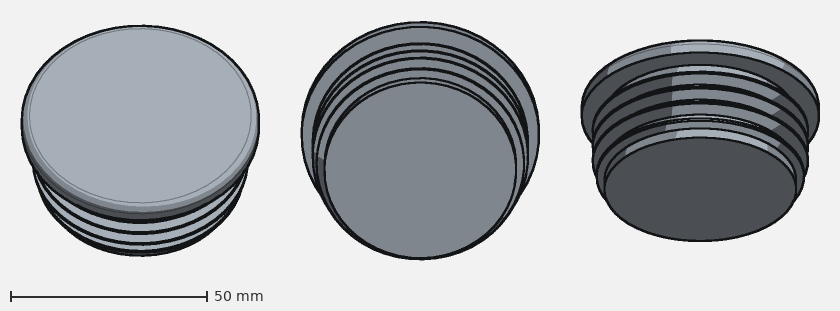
import cadquery as cq
import math

head_radius = 30.25
head_bottom = 22.0
edge_radius = 2.0
edge_start = 24.6
edge_top = edge_start + edge_radius
crown_rise = 0.5

plug_radius = 24.45

fin_pitch = 4.55
fin_radius = 54.9 / 2
fin_top_lowest = 8.95
fin_rim = 0.55
fin_taper = 1.45
fin_count = 3

lead_fin_radius = 26.45
lead_fin_top = 4.55
lead_fin_rim = 0.7
lead_fin_taper = 1.0


def make_body():
    """Revolve the plug and head, with a rounded edge and a slightly crowned top."""
    face_radius = head_radius - edge_radius
    crown_radius = (face_radius**2 + crown_rise**2) / (2 * crown_rise)
    mid_radius = face_radius / 2
    mid_height = edge_top + crown_rise - crown_radius + math.sqrt(crown_radius**2 - mid_radius**2)
    edge_offset = edge_radius * math.sqrt(0.5)
    profile = (
        cq.Workplane("XZ")
        .lineTo(plug_radius, 0)
        .lineTo(plug_radius, head_bottom)
        .lineTo(head_radius, head_bottom)
        .lineTo(head_radius, edge_start)
        .threePointArc(
            (face_radius + edge_offset, edge_start + edge_offset),
            (face_radius, edge_top),
        )
        .threePointArc((mid_radius, mid_height), (0, edge_top + crown_rise))
        .close()
    )
    return profile.revolve(360, (0, 0, 0), (0, 1, 0))


def make_fin(radius, top, rim, taper):
    """Revolve a solid fin disc whose underside tapers in to the plug wall."""
    rim_bottom = top - rim
    taper_bottom = rim_bottom - taper
    profile = (
        cq.Workplane("XZ")
        .moveTo(0, taper_bottom)
        .lineTo(plug_radius, taper_bottom)
        .lineTo(radius, rim_bottom)
        .lineTo(radius, top)
        .lineTo(0, top)
        .close()
    )
    return profile.revolve(360, (0, 0, 0), (0, 1, 0))


result = make_body()
result = result.union(make_fin(lead_fin_radius, lead_fin_top, lead_fin_rim, lead_fin_taper))
for i in range(fin_count):
    fin_top = fin_top_lowest + i * fin_pitch
    result = result.union(make_fin(fin_radius, fin_top, fin_rim, fin_taper))